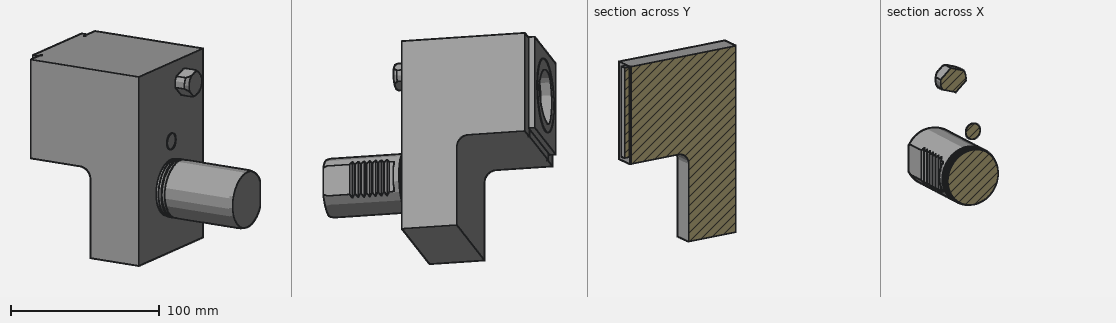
import cadquery as cq
import math


body_width = 84.0
body_length = 85.0
body_top = 87.1
body_bottom = -45.0
head_height = 69.1
leg_length = 38.0
corner_radius = 8.0
body_front = -body_length

pad_width = 56.0
pad_step = 0.3
pad_groove_width = 0.5
pad_groove_depth = 0.7
plate_size = 64.0
plate_thickness = 4.2
rim_diameter = 50.0
rim_height = 0.5
plate_back = body_front - pad_step
plate_front = plate_back - plate_thickness
rim_front = plate_front - rim_height
socket_z = body_top - plate_size / 2

lobe_offset = 8.7
lobe_radius = 10.8
flank_offset = 7.6
socket_depth = 7.3
flank_radius = lobe_radius + math.sqrt(lobe_offset**2 + flank_offset**2 + lobe_offset * flank_offset)

shank_length = 60.0
shank_radius = 20.0
shank_end_chamfer = 2.5
shank_end_taper = 15
relief_depth = 0.5
relief_length = 1.8
seal_groove_start = 4.2
seal_groove_width = 2.8
seal_groove_depth = 1.5
seal_section_radius = 1.0

flat_height = 17.0
flat_start = 11.0
tooth_count = 7
notch_span = 24.0
tooth_pitch = notch_span / (tooth_count - 1)
first_tooth_x = 16.0
tooth_depth = 1.5
tooth_half_width = 1.6

pin_y = 15.1
pin_z = 70.3
pin_length = 10.0
pin_diameter = 20.0
pin_radius = pin_diameter / 2
pin_ridge_height = 9.1
pin_land_half_angle = 22.5
pin_chamfer_length = 2.7
pin_chamfer_depth = 1.6

port_z = 32.2
port_diameter = 11.2
port_height = 0.52


def disc(diameter, x_start, length, z):
    """Cylinder along X, centred on the middle plane of the part."""
    return cq.Workplane("YZ", origin=(x_start, 0, z)).circle(diameter / 2).extrude(length)


def slab(x_start, length, width, z_bottom, height, y=0):
    """Upright block, centred on the given Y."""
    centred = (False, True, False)
    return cq.Workplane(origin=(x_start, y, z_bottom)).box(length, width, height, centered=centred)


def make_body():
    head_bottom = body_top - head_height
    head = slab(body_front, body_length, body_width, head_bottom, head_height)
    leg = slab(-leg_length, leg_length, body_width, body_bottom, body_top - body_bottom)
    inner_corner = cq.selectors.NearestToPointSelector((-leg_length, 0, head_bottom))
    body = head.union(leg).edges(inner_corner).fillet(corner_radius)

    pad = slab(plate_back, pad_step, pad_width, head_bottom, head_height)
    body = body.union(pad)
    for side in (-1, 1):
        groove_y = side * (pad_width + pad_groove_width) / 2
        groove = slab(body_front, pad_groove_depth, pad_groove_width, head_bottom, head_height, groove_y)
        body = body.cut(groove)
    return body


def make_face_plate():
    plate = slab(plate_front, plate_thickness, plate_size, body_top - plate_size, plate_size)
    return plate.union(disc(rim_diameter, rim_front, rim_height, socket_z))


def make_socket():
    """Rounded-triangle pocket with one lobe pointing to +Y."""

    def polar(radius, angle):
        return radius * math.cos(angle), radius * math.sin(angle)

    third = 2 * math.pi / 3
    lobe_tip = lobe_offset + lobe_radius
    flank_middle = flank_offset - flank_radius

    def flank_end(lobe_angle, flank_angle):
        """Tangent point of a lobe and the flank centred at flank_angle."""
        lobe = polar(lobe_offset, lobe_angle)
        centre = polar(flank_offset, flank_angle)
        stretch = flank_radius / (flank_radius - lobe_radius)
        return tuple(c + (p - c) * stretch for c, p in zip(centre, lobe))

    outline = cq.Workplane("YZ", origin=(rim_front, 0, socket_z)).moveTo(*flank_end(0, third))
    for index in range(3):
        lobe = index * third
        next_lobe = lobe + third
        flank = lobe - third
        outline = outline.threePointArc(polar(lobe_tip, lobe), flank_end(lobe, flank))
        outline = outline.threePointArc(polar(flank_middle, flank), flank_end(next_lobe, flank))
    return outline.close().extrude(socket_depth)


def make_shank():
    relief_radius = shank_radius - relief_depth
    groove_radius = shank_radius - seal_groove_depth
    groove_end = seal_groove_start + seal_groove_width
    end_radius = shank_radius - shank_end_chamfer * math.tan(math.radians(shank_end_taper))
    profile = [
        (0, 0),
        (0, relief_radius),
        (relief_length, relief_radius),
        (relief_length + relief_depth, shank_radius),
        (seal_groove_start, shank_radius),
        (seal_groove_start, groove_radius),
        (groove_end, groove_radius),
        (groove_end, shank_radius),
        (shank_length - shank_end_chamfer, shank_radius),
        (shank_length, end_radius),
        (shank_length, 0),
    ]
    shank = cq.Workplane("XY").polyline(profile).close().revolve(360, (0, 0), (1, 0))

    seal_x = seal_groove_start + seal_section_radius
    seal_y = shank_radius - seal_section_radius
    seal = (
        cq.Workplane("XY")
        .center(seal_x, seal_y)
        .circle(seal_section_radius)
        .revolve(360, (0, -seal_y), (1, -seal_y))
    )
    return shank.union(seal).cut(make_toothed_flat())


def make_toothed_flat():
    """Material removed from the shank: everything above the flat, plus the V notches."""
    outline = cq.Workplane("XY").moveTo(flat_start, shank_radius).lineTo(flat_start, flat_height)
    for index in range(tooth_count):
        notch_x = first_tooth_x + index * tooth_pitch
        outline = outline.lineTo(notch_x - tooth_half_width, flat_height)
        outline = outline.lineTo(notch_x, flat_height - tooth_depth)
        outline = outline.lineTo(notch_x + tooth_half_width, flat_height)
    outline = outline.lineTo(shank_length, flat_height).lineTo(shank_length, shank_radius)
    return outline.close().extrude(shank_radius, both=True)


def make_pin():
    half_angle = math.radians(pin_land_half_angle)
    land_y = pin_radius * math.cos(half_angle)
    land_z = pin_radius * math.sin(half_angle)
    diamond = (
        cq.Workplane("YZ")
        .moveTo(0, pin_ridge_height)
        .lineTo(-land_y, land_z)
        .threePointArc((-pin_radius, 0), (-land_y, -land_z))
        .lineTo(0, -pin_ridge_height)
        .lineTo(land_y, -land_z)
        .threePointArc((pin_radius, 0), (land_y, land_z))
        .close()
        .extrude(pin_length)
    )
    chamfered_rod = (
        cq.Workplane("YZ")
        .circle(pin_radius)
        .extrude(pin_length)
        .faces(">X")
        .chamfer(pin_chamfer_length, pin_chamfer_depth)
    )
    tilt = math.degrees(math.atan2(pin_y, pin_z))
    pin = diamond.intersect(chamfered_rod).rotate((0, 0, 0), (1, 0, 0), -tilt)
    return pin.translate((0, pin_y, pin_z))


port_seal = disc(port_diameter, 0, port_height, port_z)
result = make_body().union(make_face_plate()).cut(make_socket())
result = result.union(make_shank()).union(make_pin()).union(port_seal)